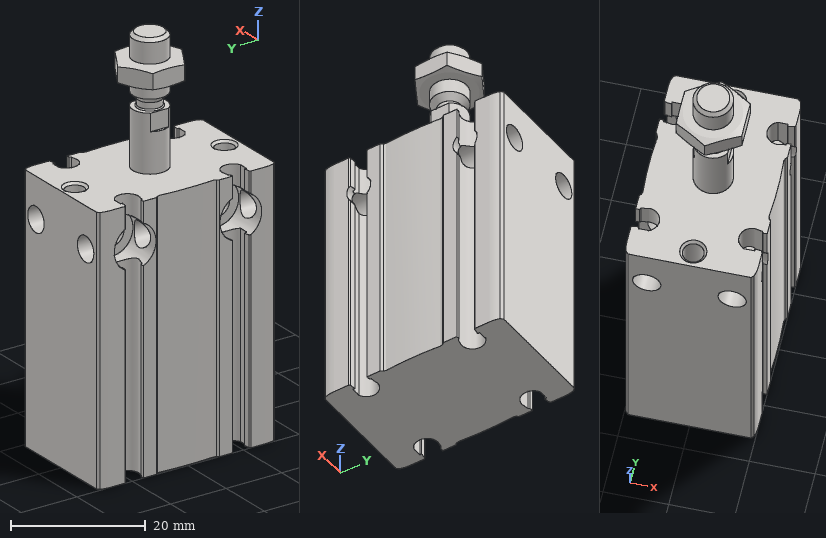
import cadquery as cq
import math

housing_width = 20.0
housing_length = 32.0
housing_height = 45.0
corner_chamfer = 0.4
corner_bow_start = 13.95
corner_bow_depth = 0.3

recess_outer_y = 5.7
recess_shoulder_y = 5.3
recess_inner_y = 4.9
shoulder_depth = 0.3
recess_depth = 0.4
bow_height = 0.2

slot_y = 9.5
slot_diameter = 3.95
slot_depth = 3.95
mouth_half_width = 1.5
mouth_chamfer = 0.2
mouth_taper = 0.15
outer_lip_thickness = 1.2
inner_lip_thickness = 0.8
inner_lip_bevel = 0.2
undercut_half_width = 1.75

mount_hole_diameter = 4.3
mount_hole_drop = 7.05
cross_hole_x = 6.5
counterbore_diameter = 7.5
counterbore_depth = 6.0

top_hole_y = 13.5
top_hole_diameter = 3.2
top_hole_mouth_diameter = 4.0
top_hole_depth = 8.05
countersink_angle = 90.0

rod_top_z = 67.0
rod_diameter = 6.0
rod_socket_depth = 10.05
rod_shoulder_z = 54.95
neck_diameter = 4.0
neck_root_flare = 0.2
thread_start_z = 57.2
tip_diameter = 4.9
flat_distance = 5.1
flat_length = 3.0

nut_across_flats = 10.0
nut_bottom_z = 59.6
nut_thickness = 3.3
nut_face_diameter = 9.0
nut_chamfer_angle = 15.0

half_width = housing_width / 2
half_length = housing_length / 2
mount_hole_z = housing_height - mount_hole_drop
rod_bottom_z = housing_height - rod_socket_depth


def bow_point(start_y, end_y, start_x, drop):
    """Middle of an arc that leaves (start_x, start_y) along +Y and lies drop lower in X at end_y."""
    span = end_y - start_y
    radius = (span**2 + drop**2) / (2 * drop)
    half_angle = math.asin(span / radius) / 2
    middle_x = start_x - radius * (1 - math.cos(half_angle))
    middle_y = start_y + radius * math.sin(half_angle)
    return middle_x, middle_y


def profile_quadrant():
    """Extrude the +X +Y quarter of the housing section, slot included."""
    slot_radius = slot_diameter / 2
    slot_floor_x = half_width - slot_depth
    slot_center_x = slot_floor_x + slot_radius
    mouth_outer_y = slot_y + mouth_half_width
    mouth_inner_y = slot_y - mouth_half_width
    outer_lip_x = half_width - outer_lip_thickness
    inner_lip_x = half_width - inner_lip_thickness
    chord_half = outer_lip_x - slot_center_x
    outer_wall_y = slot_y + math.sqrt(slot_radius**2 - chord_half**2)

    corner_x = half_width - corner_bow_depth
    corner_y = half_length - corner_chamfer
    recess_x = half_width - recess_depth

    section = (
        cq.Workplane("XY")
        .moveTo(0, half_length)
        .lineTo(corner_x - corner_chamfer, half_length)
        .lineTo(corner_x, corner_y)
        .threePointArc(bow_point(corner_bow_start, corner_y, half_width, corner_bow_depth),
                       (half_width, corner_bow_start))
        .lineTo(half_width, mouth_outer_y + mouth_taper + mouth_chamfer)
        .lineTo(half_width - mouth_chamfer, mouth_outer_y + mouth_taper)
        .lineTo(outer_lip_x, mouth_outer_y)
        .lineTo(outer_lip_x, outer_wall_y)
        .lineTo(slot_center_x - chord_half, outer_wall_y)
        .threePointArc((slot_floor_x, slot_y), (slot_center_x, slot_y - slot_radius))
        .lineTo(inner_lip_x, slot_y - undercut_half_width)
        .lineTo(inner_lip_x + inner_lip_bevel, mouth_inner_y)
        .lineTo(half_width, mouth_inner_y)
        .lineTo(half_width, recess_outer_y)
        .lineTo(half_width - shoulder_depth, recess_shoulder_y)
        .lineTo(recess_x, recess_inner_y)
        .threePointArc(bow_point(0, recess_inner_y, recess_x + bow_height, bow_height),
                       (recess_x + bow_height, 0))
        .lineTo(0, 0)
        .close()
    )
    return section.extrude(housing_height)


def make_housing():
    """Slotted block with its mounting holes, tapped holes and rod socket."""
    quadrant = profile_quadrant()
    half = quadrant.union(quadrant.mirror("XZ"))
    housing = half.union(half.mirror("YZ"))

    housing = housing.cut(
        cq.Workplane("XZ", origin=(0, half_length, mount_hole_z))
        .pushPoints([(-cross_hole_x, 0), (cross_hole_x, 0)])
        .circle(mount_hole_diameter / 2)
        .extrude(housing_length)
    )

    side_plane = cq.Workplane("YZ", origin=(-half_width, 0, mount_hole_z))
    side_holes = side_plane.pushPoints([(-slot_y, 0), (slot_y, 0)])
    housing = housing.cut(side_holes.circle(mount_hole_diameter / 2).extrude(housing_width))
    housing = housing.cut(side_holes.circle(counterbore_diameter / 2).extrude(counterbore_depth))

    housing = (
        housing.faces(">Z")
        .workplane(origin=(0, 0, housing_height))
        .pushPoints([(0, -top_hole_y), (0, top_hole_y)])
        .cskHole(top_hole_diameter, top_hole_mouth_diameter, countersink_angle, top_hole_depth)
    )

    socket = (
        cq.Workplane("XY", origin=(0, 0, rod_bottom_z))
        .circle(rod_diameter / 2)
        .extrude(rod_socket_depth)
    )
    return housing.cut(socket)


def make_rod():
    """Turned rod with a necked, chamfered stud end and two wrench flats."""
    rod_radius = rod_diameter / 2
    neck_radius = neck_diameter / 2
    tip_radius = tip_diameter / 2
    rod = (
        cq.Workplane("XZ")
        .moveTo(0, rod_bottom_z)
        .lineTo(rod_radius, rod_bottom_z)
        .lineTo(rod_radius, rod_shoulder_z)
        .lineTo(neck_radius + neck_root_flare, rod_shoulder_z)
        .lineTo(neck_radius, rod_shoulder_z + neck_root_flare)
        .lineTo(neck_radius, thread_start_z - (rod_radius - neck_radius))
        .lineTo(rod_radius, thread_start_z)
        .lineTo(rod_radius, rod_top_z - (rod_radius - tip_radius))
        .lineTo(tip_radius, rod_top_z)
        .lineTo(0, rod_top_z)
        .close()
        .revolve(360, (0, 0, 0), (0, 1, 0))
    )

    flat_cuts = (
        cq.Workplane("XY", origin=(0, 0, rod_shoulder_z - flat_length))
        .rect(2 * rod_diameter, 2 * rod_diameter)
        .rect(flat_distance, 2 * rod_diameter)
        .extrude(flat_length)
    )
    return rod.cut(flat_cuts)


def make_nut():
    """Hexagon nut around the stud, chamfered on both faces."""
    corner_radius = nut_across_flats / math.sqrt(3)
    face_radius = nut_face_diameter / 2
    chamfer_drop = (corner_radius - face_radius) * math.tan(math.radians(nut_chamfer_angle))
    nut_top_z = nut_bottom_z + nut_thickness

    hexagon = (
        cq.Workplane("XY", origin=(0, 0, nut_bottom_z))
        .transformed(rotate=(0, 0, 90))
        .polygon(6, 2 * corner_radius)
        .extrude(nut_thickness)
    )
    disc = (
        cq.Workplane("XZ")
        .moveTo(rod_diameter / 2, nut_bottom_z)
        .lineTo(face_radius, nut_bottom_z)
        .lineTo(corner_radius, nut_bottom_z + chamfer_drop)
        .lineTo(corner_radius, nut_top_z - chamfer_drop)
        .lineTo(face_radius, nut_top_z)
        .lineTo(rod_diameter / 2, nut_top_z)
        .close()
        .revolve(360, (0, 0, 0), (0, 1, 0))
    )
    return hexagon.intersect(disc)


housing = make_housing()
rod = make_rod()
nut = make_nut()

result = cq.Compound.makeCompound([housing.solids().val(), rod.solids().val(), nut.solids().val()])